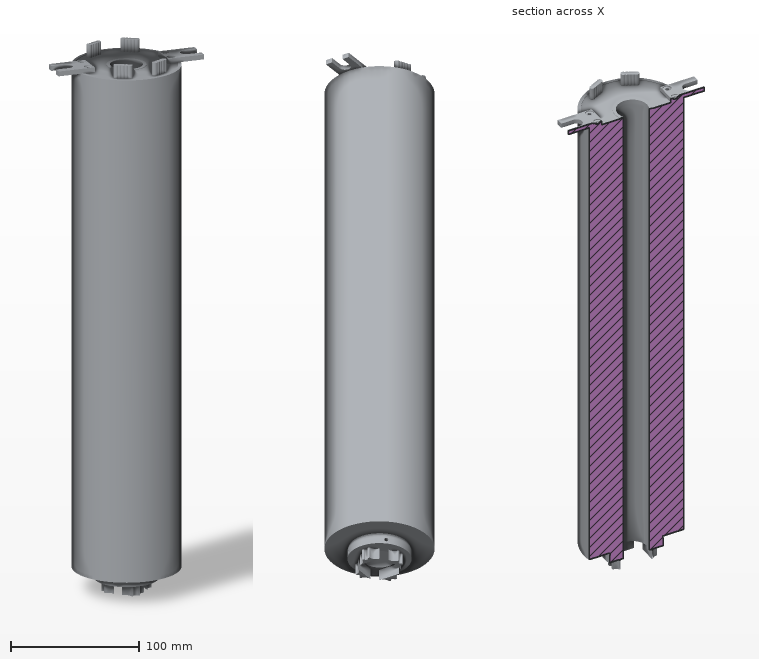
import cadquery as cq
import math

total_height = 438.0
lobe_height = 9.0
hub_height = 9.0
terminal_height = 10.0

drum_diameter = 86.0
rim_width = 2.5
bore_diameter = 26.0
collar_diameter = 31.0
face_recess = 0.5

hub_diameter = 50.0
neck_diameter = 49.0
neck_height = 1.8
set_screw_diameter = 3.0
set_screw_depth = 4.5
set_screw_height = 3.5

lobe_inner_reach = 14.0
lobe_outer_reach = 19.5
lobe_inner_width = 18.5
lobe_groove_diameter = 3.5

bracket_span = 122.0
bracket_length = 30.2
bracket_width = 21.0
bracket_rise = 4.0
fork_width = 9.5
fork_depth = 15.8
screw_head_diameter = 7.0
screw_socket_width = 3.5
screw_spacing = 13.0
screw_head_depth = 1.0
screw_socket_depth = 2.0
screw_edge_distance = 4.0

terminal_circle_radius = 34.5
terminal_angle = 26.0
pin_count = 5
pin_diameter = 4.5
pin_row_length = 15.0

hub_bottom = lobe_height
drum_bottom = hub_bottom + hub_height
drum_top = total_height - terminal_height
face_level = drum_top - face_recess


def cylinder(diameter, bottom, top):
    return cq.Workplane("XY").workplane(offset=bottom).circle(diameter / 2).extrude(top - bottom)


def make_drum():
    """Drum with a top face sunk between its rim and the collar around the bore."""
    drum = cylinder(drum_diameter, drum_bottom, drum_top)
    sunk_face = cylinder(drum_diameter - 2 * rim_width, face_level, drum_top)
    return drum.cut(sunk_face.cut(cylinder(collar_diameter, face_level, drum_top)))


def make_hub():
    """Hub with a slim neck against the drum and set screw holes halfway between the X and Y axes."""
    neck_bottom = drum_bottom - neck_height
    neck = cylinder(neck_diameter, neck_bottom, drum_bottom)
    hub = cylinder(hub_diameter, hub_bottom, neck_bottom).union(neck)
    hole = (
        cq.Workplane("YZ")
        .workplane(offset=hub_diameter / 2 - set_screw_depth)
        .center(0, hub_bottom + set_screw_height)
        .circle(set_screw_diameter / 2)
        .extrude(2 * set_screw_depth)
    )
    for angle in (45, 135, 225, 315):
        hub = hub.cut(hole.rotate((0, 0, 0), (0, 0, 1), angle))
    return hub


def make_lobe():
    """Lobe on +Y: narrows outward along two hollow quarter circles to a grooved land."""
    flank_radius = lobe_outer_reach - lobe_inner_reach
    inner_x = lobe_inner_width / 2
    outer_x = inner_x - flank_radius
    arc_offset = flank_radius * math.sqrt(0.5)
    arc_x = inner_x - arc_offset
    arc_y = lobe_outer_reach - arc_offset
    lobe = (
        cq.Workplane("XY")
        .moveTo(-inner_x, lobe_inner_reach)
        .lineTo(inner_x, lobe_inner_reach)
        .threePointArc((arc_x, arc_y), (outer_x, lobe_outer_reach))
        .lineTo(-outer_x, lobe_outer_reach)
        .threePointArc((-arc_x, arc_y), (-inner_x, lobe_inner_reach))
        .close()
        .extrude(lobe_height)
    )
    groove = cylinder(lobe_groove_diameter, 0, lobe_height).translate((0, lobe_outer_reach, 0))
    return lobe.cut(groove)


def make_bracket():
    """Bracket on +Y: open fork at the outer end, two counterbored sockets at the inner end."""
    outer_y = bracket_span / 2
    inner_y = outer_y - bracket_length
    bracket_top = drum_top + bracket_rise
    plate = (
        cq.Workplane("XY")
        .workplane(offset=drum_top)
        .center(0, (outer_y + inner_y) / 2)
        .rect(bracket_width, bracket_length)
        .extrude(bracket_rise)
    )
    pad_length = drum_diameter / 2 - rim_width - inner_y
    pad = (
        cq.Workplane("XY")
        .workplane(offset=face_level)
        .center(0, inner_y + pad_length / 2)
        .rect(bracket_width, pad_length)
        .extrude(face_recess)
    )
    fork = (
        cq.Workplane("XY")
        .workplane(offset=drum_top)
        .center(0, outer_y)
        .slot2D(2 * fork_depth, fork_width, 90)
        .extrude(bracket_rise)
    )
    screws = (
        cq.Workplane("XY")
        .workplane(offset=bracket_top)
        .center(0, inner_y + screw_edge_distance)
        .pushPoints([(-screw_spacing / 2, 0), (screw_spacing / 2, 0)])
    )
    heads = screws.circle(screw_head_diameter / 2).extrude(-screw_head_depth)
    sockets = screws.polygon(6, screw_socket_width).extrude(-screw_socket_depth)
    return plate.cut(fork).union(pad).cut(heads).cut(sockets)


def make_terminal():
    """Row of overlapping pins on +X, running along Y."""
    pin_pitch = (pin_row_length - pin_diameter) / (pin_count - 1)
    pin = cylinder(pin_diameter, face_level, total_height)
    row = cq.Workplane("XY")
    for i in range(pin_count):
        offset = (i - (pin_count - 1) / 2) * pin_pitch
        row = row.union(pin.translate((terminal_circle_radius, offset, 0)))
    return row


def add_around_axis(body, feature, angles):
    for angle in angles:
        body = body.union(feature.rotate((0, 0, 0), (0, 0, 1), angle))
    return body


result = make_drum().union(make_hub())
result = add_around_axis(result, make_lobe(), (0, 90, 180, 270))
result = result.cut(cylinder(bore_diameter, 0, total_height))
result = add_around_axis(result, make_bracket(), (0, 180))
terminal_angles = (terminal_angle, 180 - terminal_angle, 180 + terminal_angle, -terminal_angle)
result = add_around_axis(result, make_terminal(), terminal_angles)